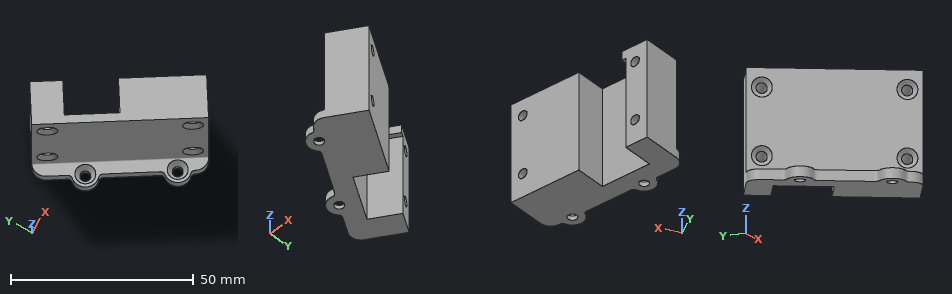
import cadquery as cq

INCH = 25.4
TURN_ANGLE = -58.63

HEIGHT = 1.30 * INCH
DEPTH = 0.50 * INCH
SHORT_LEG = 0.36 * INCH
NOTCH_WIDTH = 0.60 * INCH
LONG_LEG = 0.957 * INCH
LENGTH = SHORT_LEG + NOTCH_WIDTH + LONG_LEG
NOTCH_DEPTH = 0.40 * INCH
ROOF_THICKNESS = 0.12 * INCH
ROOF_OVERHANG = 0.06 * INCH

FLANGE_THICKNESS = 0.12 * INCH
FLANGE_WIDTH = 0.15 * INCH
ROOT_FILLET = 0.015 * INCH

EAR_RADIUS = 0.15 * INCH
EAR_BLEND = 0.05 * INCH
EAR_SPACING = 1.00 * INCH
FIRST_EAR_X = 0.575 * INCH
FIRST_EAR_OFFSET = 0.143 * INCH
SECOND_EAR_OFFSET = 0.134 * INCH
EAR_CENTRES = (
    (FIRST_EAR_X, -FIRST_EAR_OFFSET),
    (FIRST_EAR_X + EAR_SPACING, -SECOND_EAR_OFFSET),
)

SINK_DIAMETER = 0.225 * INCH
EAR_HOLE_DIAMETER = 0.116 * INCH
EAR_SINK_ANGLE = 82
FACE_HOLE_DIAMETER = 0.120 * INCH
FACE_SINK_ANGLE = 100
FACE_HOLE_INSET = 0.17 * INCH
FACE_HOLE_XS = (FACE_HOLE_INSET, LENGTH - FACE_HOLE_INSET)
FACE_HOLE_ZS = (0.31 * INCH, 1.08 * INCH)


def make_block():
    """Block with a full-height notch; below its roof the short leg is set back from the notch."""
    block = cq.Workplane("XY").box(LENGTH, DEPTH, HEIGHT, centered=False)
    notch = (
        cq.Workplane("XY")
        .box(NOTCH_WIDTH, NOTCH_DEPTH, HEIGHT, centered=False)
        .translate((SHORT_LEG, DEPTH - NOTCH_DEPTH, 0))
    )
    undercut = (
        cq.Workplane("XY")
        .box(ROOF_OVERHANG, NOTCH_DEPTH, HEIGHT - ROOF_THICKNESS, centered=False)
        .translate((SHORT_LEG - ROOF_OVERHANG, DEPTH - NOTCH_DEPTH, 0))
    )
    return block.cut(notch).cut(undercut)


def make_flange():
    """Strip with quarter-round ends and two ears blended into its outer edge."""
    strip = (
        cq.Workplane("XY")
        .moveTo(0, 0)
        .radiusArc((FLANGE_WIDTH, -FLANGE_WIDTH), -FLANGE_WIDTH)
        .lineTo(LENGTH - FLANGE_WIDTH, -FLANGE_WIDTH)
        .radiusArc((LENGTH, 0), -FLANGE_WIDTH)
        .close()
        .extrude(FLANGE_THICKNESS)
    )
    flange = strip
    for x, y in EAR_CENTRES:
        ear = cq.Workplane("XY").center(x, y).circle(EAR_RADIUS).extrude(FLANGE_THICKNESS)
        flange = flange.union(ear)
    for x, y in EAR_CENTRES:
        half_chord = (EAR_RADIUS**2 - (FLANGE_WIDTH + y) ** 2) ** 0.5
        for corner_x in (x - half_chord, x + half_chord):
            corner = (corner_x, -FLANGE_WIDTH, FLANGE_THICKNESS / 2)
            flange = flange.edges(cq.NearestToPointSelector(corner)).fillet(EAR_BLEND)
    return flange


def make_root_fillet(flange):
    """Concave fillet between flange and front face, ending flush with the flange ends."""
    fillet = (
        cq.Workplane("YZ")
        .moveTo(0, FLANGE_THICKNESS)
        .lineTo(-ROOT_FILLET, FLANGE_THICKNESS)
        .radiusArc((0, FLANGE_THICKNESS + ROOT_FILLET), -ROOT_FILLET)
        .close()
        .extrude(LENGTH)
    )
    return fillet.intersect(flange.translate((0, 0, FLANGE_THICKNESS)))


def cut_ear_holes(body):
    """Vertical holes through the flange, countersunk from its top."""
    return (
        body.copyWorkplane(cq.Workplane("XY", origin=(0, 0, FLANGE_THICKNESS)))
        .pushPoints(EAR_CENTRES)
        .cskHole(EAR_HOLE_DIAMETER, SINK_DIAMETER, EAR_SINK_ANGLE, depth=FLANGE_THICKNESS)
    )


def cut_face_holes(body):
    """Two holes through each leg, countersunk from the front face."""
    return (
        body.copyWorkplane(cq.Workplane("XZ"))
        .pushPoints([(x, z) for x in FACE_HOLE_XS for z in FACE_HOLE_ZS])
        .cskHole(FACE_HOLE_DIAMETER, SINK_DIAMETER, FACE_SINK_ANGLE, depth=DEPTH)
    )


flange = make_flange()
body = make_block().union(flange).union(make_root_fillet(flange))
body = cut_ear_holes(body)
body = cut_face_holes(body)
result = body.rotate((0, 0, 0), (0, 0, 1), TURN_ANGLE)